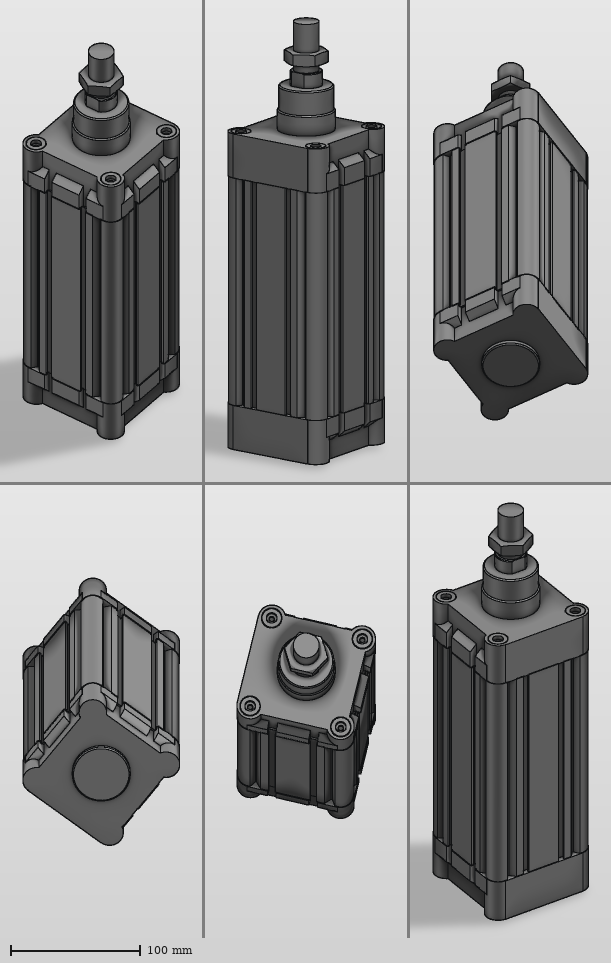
import cadquery as cq
import math

total_height = 343.0
cap_width = 93.0
screw_spacing = 72.0
pillar_spacing = 71.5
pillar_diameter = 21.3

spigot_height = 4.0
cap_height = 35.5
front_cap_top = 257.0
collar_step = 273.0
collar_top = 292.2
shoulder_height = 304.0
nut_bottom = 310.5
nut_thickness = 9.5

core_width = 81.3
slot_centre = 16.5
slot_width = 7.0
rib_height = 14.5
rib_slope_height = 5.5

clearance_diameter = 15.8
head_diameter = 15.0
clearance_depth = 1.7
thread_hole_diameter = 8.2
thread_hole_depth = 3.5
core_hole_diameter = 4.0
core_hole_depth = 7.0

barrel_width = 91.5
t_slot_mouth = 5.0
t_slot_width = 8.2
t_slot_lip = 1.7
t_slot_depth = 3.8
v_groove_inner = 25.5
v_groove_floor_inner = 29.5
v_groove_floor_outer = 30.5
v_groove_outer = 33.5
v_groove_depth = 4.5

collar_diameter = 45.0
bearing_diameter = 43.0
edge_chamfer = 1.0
shoulder_chamfer = 0.7
rod_diameter = 25.0
rod_flats = 22.0
thread_diameter = 20.0
nut_flats = 30.0
nut_chamfer_angle = 15.0

half_cap = cap_width / 2
half_core = core_width / 2
half_barrel = barrel_width / 2
half_spacing = screw_spacing / 2
rear_cap_bottom = spigot_height
rear_cap_top = rear_cap_bottom + cap_height
front_cap_bottom = front_cap_top - cap_height
side_angles = (0, 90, 180, 270)
ribbed_angles = (-90, 0, 90)


def about_z(shape, angle):
    return shape.rotate((0, 0, 0), (0, 0, 1), angle)


def disc(diameter, bottom, top):
    return cq.Workplane("XY", origin=(0, 0, bottom)).circle(diameter / 2).extrude(top - bottom)


def corner_pillars(height):
    corners = cq.Workplane("XY").rect(pillar_spacing, pillar_spacing, forConstruction=True).vertices()
    return corners.circle(pillar_diameter / 2).extrude(height)


def rib_band():
    """Ribs on the -Y face: straight from the barrel joint, then sloping back to the core."""
    slope_end = rib_height + rib_slope_height
    band = (
        cq.Workplane("YZ", origin=(-half_spacing, 0, 0))
        .moveTo(0, 0)
        .lineTo(-half_cap, 0)
        .lineTo(-half_cap, rib_height)
        .lineTo(-half_core, slope_end)
        .lineTo(0, slope_end)
        .close()
        .extrude(screw_spacing)
    )
    for x in (-slot_centre, slot_centre):
        slot = cq.Workplane("XY").box(slot_width, half_cap - half_core, slope_end, centered=(True, False, False))
        band = band.cut(slot.translate((x, -half_cap, 0)))
    return band


def end_cap():
    """Cap standing on its barrel joint at Z = 0, outer end up."""
    cap = cq.Workplane("XY").rect(core_width, core_width).extrude(cap_height)
    cap = cap.union(corner_pillars(cap_height))
    plain_side = cq.Workplane("XY").box(screw_spacing, half_cap, cap_height, centered=(True, False, False))
    cap = cap.union(plain_side)
    for angle in ribbed_angles:
        cap = cap.union(about_z(rib_band(), angle))
    return cap


def screw_recesses():
    corners = cq.Workplane("XY", origin=(0, 0, front_cap_top)).rect(
        screw_spacing, screw_spacing, forConstruction=True
    ).vertices()
    gaps = corners.circle(clearance_diameter / 2).extrude(-clearance_depth)
    gaps = gaps.cut(corners.circle(head_diameter / 2).extrude(-clearance_depth))
    thread_holes = corners.circle(thread_hole_diameter / 2).extrude(-thread_hole_depth)
    core_holes = corners.circle(core_hole_diameter / 2).extrude(-core_hole_depth)
    return gaps.union(thread_holes).union(core_holes)


def barrel_grooves(height):
    """Two T-slots and two V-grooves, cut into the -Y face of the barrel."""
    face = -half_barrel
    grooves = cq.Workplane("XY")
    for side in (-1, 1):
        mouth = cq.Workplane("XY").center(side * slot_centre, face + t_slot_depth / 2).rect(
            t_slot_mouth, t_slot_depth
        ).extrude(height)
        pocket_depth = t_slot_depth - t_slot_lip
        pocket = cq.Workplane("XY").center(
            side * slot_centre, face + t_slot_lip + pocket_depth / 2
        ).rect(t_slot_width, pocket_depth).extrude(height)
        v_groove = (
            cq.Workplane("XY")
            .moveTo(side * v_groove_inner, face)
            .lineTo(side * v_groove_floor_inner, face + v_groove_depth)
            .lineTo(side * v_groove_floor_outer, face + v_groove_depth)
            .lineTo(side * v_groove_outer, face)
            .close()
            .extrude(height)
        )
        grooves = grooves.add(mouth).add(pocket).add(v_groove)
    return grooves.combine()


def barrel():
    height = front_cap_bottom - rear_cap_top
    profile = cq.Workplane("XY").rect(barrel_width, barrel_width).extrude(height)
    profile = profile.edges("|Z").fillet(half_barrel - half_spacing)
    for angle in side_angles:
        profile = profile.cut(about_z(barrel_grooves(height), angle))
    return profile.translate((0, 0, rear_cap_top))


def housing():
    front_cap = end_cap().translate((0, 0, front_cap_bottom))
    rear_cap = end_cap().mirror("XY").translate((0, 0, rear_cap_top))
    spigot = disc(collar_diameter, 0, rear_cap_bottom).faces("<Z").chamfer(edge_chamfer)
    collar = disc(collar_diameter, front_cap_top, collar_step).faces(">Z").chamfer(edge_chamfer)
    bearing = disc(bearing_diameter, front_cap_top, collar_top).faces(">Z").chamfer(edge_chamfer)
    body = barrel()
    for piece in (front_cap, rear_cap, spigot, collar, bearing):
        body = body.union(piece)
    return body.cut(screw_recesses())


def piston_rod():
    shank = disc(rod_diameter, collar_top, shoulder_height).faces(">Z").chamfer(shoulder_chamfer)
    flats = cq.Workplane("XY").box(rod_diameter, rod_flats, shoulder_height, centered=(True, True, False))
    thread = disc(thread_diameter, collar_top, total_height)
    return shank.intersect(flats).union(thread)


def lock_nut():
    """Hexagon nut with its corners bevelled from the inscribed circle outwards."""
    across_corners = nut_flats / math.cos(math.radians(30))
    hexagon = (
        cq.Workplane("XY")
        .transformed(rotate=(0, 0, 30))
        .polygon(6, across_corners)
        .circle(thread_diameter / 2)
        .extrude(nut_thickness)
    )
    bevel_width = (across_corners - nut_flats) / 2
    bevel_drop = bevel_width * math.tan(math.radians(nut_chamfer_angle))
    bevelled_disc = disc(across_corners, 0, nut_thickness).faces("<Z or >Z").chamfer(bevel_drop, bevel_width)
    return hexagon.intersect(bevelled_disc).translate((0, 0, nut_bottom))


result = cq.Compound.makeCompound([housing().val(), piston_rod().val(), lock_nut().val()])